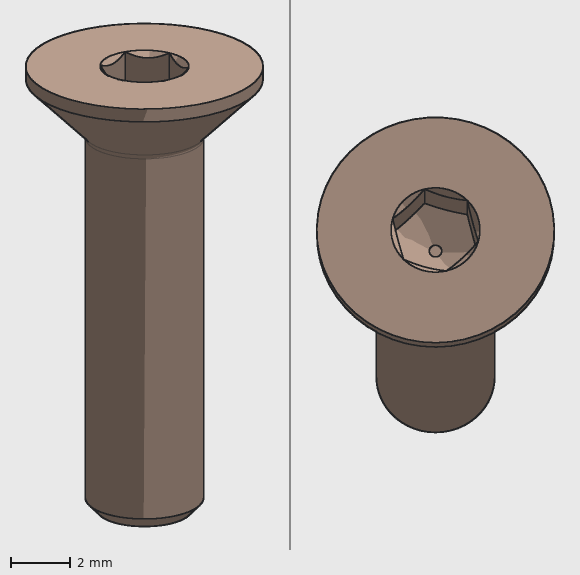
import cadquery as cq
import math

total_length = 16.0
head_diameter = 8.0
shank_diameter = 4.0
rim_height = 0.46
neck_radius = 0.24

tip_height = 0.43
tip_inset = 0.4

socket_flats = 2.6
socket_depth = 1.5
socket_mouth_chamfer_angle = 45.0
drill_point_angle = 120.0
drill_flat_diameter = 0.42

head_radius = head_diameter / 2
shank_radius = shank_diameter / 2
socket_corner_radius = socket_flats / math.sqrt(3)
cone_height = head_radius - shank_radius
rim_bottom = total_length - rim_height
neck_height = rim_bottom - cone_height
blend_length = neck_radius * math.tan(math.radians(45 / 2))
blend_step = blend_length * math.sqrt(0.5)


def screw_body():
    """Countersunk head, shank and chamfered tip as one turned profile."""
    blend_middle = (
        shank_radius + neck_radius * (1 - math.cos(math.radians(45 / 2))),
        neck_height - blend_length + neck_radius * math.sin(math.radians(45 / 2)),
    )
    return (
        cq.Workplane("XZ")
        .lineTo(shank_radius - tip_inset, 0)
        .lineTo(shank_radius, tip_height)
        .lineTo(shank_radius, neck_height - blend_length)
        .threePointArc(blend_middle, (shank_radius + blend_step, neck_height + blend_step))
        .lineTo(head_radius, rim_bottom)
        .lineTo(head_radius, total_length)
        .lineTo(0, total_length)
        .close()
        .revolve(360, (0, 0, 0), (0, 1, 0))
    )


def hexagon_socket():
    """Hexagonal hole with corners on the X axis."""
    return (
        cq.Workplane("XY")
        .workplane(offset=total_length - socket_depth)
        .polygon(6, 2 * socket_corner_radius)
        .extrude(socket_depth)
    )


def drill_point():
    """Blunt cone below the socket, limited to the hexagon at its top."""
    flat_radius = drill_flat_diameter / 2
    depth = (socket_corner_radius - flat_radius) / math.tan(math.radians(drill_point_angle / 2))
    socket_floor = total_length - socket_depth
    cone = (
        cq.Workplane("XZ", origin=(0, 0, socket_floor - depth))
        .lineTo(flat_radius, 0)
        .lineTo(socket_corner_radius, depth)
        .lineTo(0, depth)
        .close()
        .revolve(360, (0, 0, 0), (0, 1, 0))
    )
    hexagon = (
        cq.Workplane("XY")
        .workplane(offset=socket_floor - depth)
        .polygon(6, 2 * socket_corner_radius)
        .extrude(depth)
    )
    return cone.intersect(hexagon)


def socket_mouth():
    """Conical lead-in that reaches the socket corners."""
    mouth_radius = socket_corner_radius
    depth = mouth_radius / math.tan(math.radians(socket_mouth_chamfer_angle))
    return (
        cq.Workplane("XZ", origin=(0, 0, total_length - depth))
        .lineTo(mouth_radius, depth)
        .lineTo(0, depth)
        .close()
        .revolve(360, (0, 0, 0), (0, 1, 0))
    )


result = screw_body().cut(hexagon_socket()).cut(drill_point()).cut(socket_mouth())